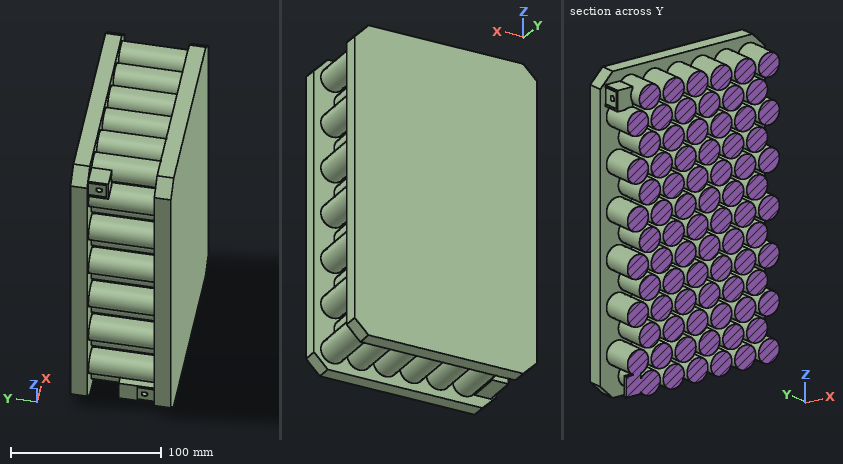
import cadquery as cq
import math

WIDTH = 138.0
DEPTH = 68.0
HEIGHT = 232.0

GAP = 45.5
PLATE_THICKNESS = (DEPTH - GAP) / 2
PLATE_CHAMFER = 10.5

CELL_DIAMETER = 17.9
CELL_PITCH_X = 20.0
CELL_PITCH_Z = 17.0
CELL_ROWS = 13
CELLS_PER_ROW = 6

BLOCK_FACE_X = -WIDTH / 2 + 4.2
BLOCK_LENGTH_X = 12.5
BLOCK_HEIGHT = 15.0
BLOCK_OFFSET_Z = 100.2
UPPER_BLOCK_DEPTH = 13.7
LOWER_BLOCK_DEPTH = 24.8

RECESS_WIDTH = 12.3
RECESS_HEIGHT = 12.0
RECESS_DEPTH = 0.2
HOLE_DIAMETER = 4.0
HOLE_DEPTH = 7.0
DRILL_POINT_ANGLE = 118
HOLE_FROM_PLATE = 7.5


def end_plate(side):
    """Chamfered plate on the -Y (side = -1) or +Y (side = 1) end."""
    return (
        cq.Workplane("XY")
        .box(WIDTH, PLATE_THICKNESS, HEIGHT)
        .edges("|Y")
        .chamfer(PLATE_CHAMFER)
        .translate((0, side * (GAP + PLATE_THICKNESS) / 2, 0))
    )


def cell_centres():
    """(x, z) centres of the cylinders; alternate rows shift by half a pitch."""
    centres = []
    for row in range(CELL_ROWS):
        z = (row - (CELL_ROWS - 1) / 2) * CELL_PITCH_Z
        shift = CELL_PITCH_X / 4 if row % 2 == 0 else -CELL_PITCH_X / 4
        for column in range(CELLS_PER_ROW):
            x = (column - (CELLS_PER_ROW - 1) / 2) * CELL_PITCH_X + shift
            centres.append((x, z))
    return centres


def cells():
    """All cylinders, spanning the gap between the plates."""
    return (
        cq.Workplane("XZ")
        .pushPoints(cell_centres())
        .circle(CELL_DIAMETER / 2)
        .extrude(GAP / 2, both=True)
    )


def box_from_plate(side, length_x, depth, height):
    """Box starting at the block face in X and at the inner face of a plate in Y."""
    return cq.Workplane("XY").box(length_x, depth, height).translate(
        (BLOCK_FACE_X + length_x / 2, side * (GAP - depth) / 2, side * BLOCK_OFFSET_Z)
    )


def drilled_hole(side):
    """Blind hole along +X from the block face, ending in a conical drill point."""
    radius = HOLE_DIAMETER / 2
    point_length = radius / math.tan(math.radians(DRILL_POINT_ANGLE / 2))
    return (
        cq.Workplane("XY")
        .polyline([(0, 0), (0, radius), (HOLE_DEPTH, radius), (HOLE_DEPTH + point_length, 0)])
        .close()
        .revolve(360, (0, 0, 0), (1, 0, 0))
        .translate((BLOCK_FACE_X, side * (GAP / 2 - HOLE_FROM_PLATE), side * BLOCK_OFFSET_Z))
    )


def terminal_block(side, depth):
    """Block on the +Y plate at the top (side = 1) or the -Y plate at the bottom (side = -1)."""
    block = box_from_plate(side, BLOCK_LENGTH_X, depth, BLOCK_HEIGHT)
    recess = box_from_plate(side, RECESS_DEPTH, RECESS_WIDTH, RECESS_HEIGHT)
    return block.cut(recess).cut(drilled_hole(side))


result = (
    cells()
    .union(end_plate(-1))
    .union(end_plate(1))
    .union(terminal_block(1, UPPER_BLOCK_DEPTH))
    .union(terminal_block(-1, LOWER_BLOCK_DEPTH))
)